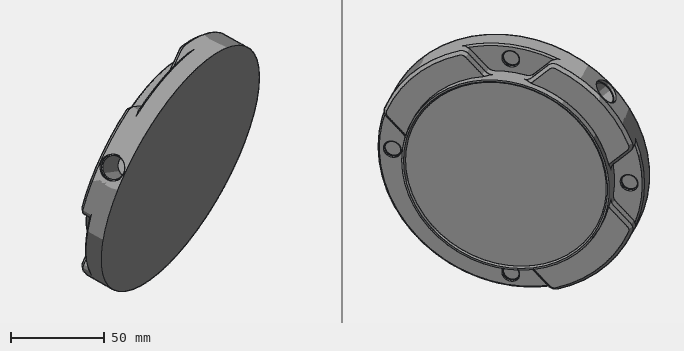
import cadquery as cq
import math

total_thickness = 21.3
pad_face_x = 4.0
floor_x = 10.3

disc_radius = 74.5
hub_radius = 116.0 / 2
disc_chamfer = 1.0

hub_rim_width = 1.0
recess_depth = 0.9

pad_half_width = 32.5
pad_corner_radius = 5.0
pad_chamfer = 1.8
pad_overlap = 0.01
pad_angles = (45, 135, 225)

floor_hole_diameter = 9.0
floor_hole_chamfer = 0.52
floor_hole_circle_radius = 66.2
floor_hole_depth = 1.5
floor_hole_count = 4

port_diameter = 13.0
port_mouth_diameter = 14.5
port_mouth_depth = 2.0
port_depth = 22.4
port_x = 13.4
port_angle = 135


def polar(radius, angle):
    """Point in the YZ plane at an angle in radians from the first axis."""
    return (radius * math.cos(angle), radius * math.sin(angle))


def mirrored(point):
    return (point[0], -point[1])


def turn(solid, angle):
    """Rotate a solid about the part axis, by an angle in degrees."""
    return solid.rotate((0, 0, 0), (1, 0, 0), angle)


def make_disc():
    disc = cq.Workplane("YZ", origin=(floor_x, 0, 0)).circle(disc_radius)
    return disc.extrude(total_thickness - floor_x).faces("<X").edges().chamfer(disc_chamfer)


def make_hub():
    hub = cq.Workplane("YZ").circle(hub_radius).extrude(floor_x)
    recess_radius = hub_radius - hub_rim_width
    recess = cq.Workplane("YZ").circle(recess_radius).extrude(recess_depth, taper=45)
    return hub.cut(recess)


def make_pad():
    """Pad along +Y, its outline blended around the hub, with the front edge chamfered."""
    inner_radius = hub_radius - pad_overlap
    outer_radius = disc_radius + pad_overlap

    root_center_distance = inner_radius + pad_corner_radius
    root_angle = math.asin((pad_half_width + pad_corner_radius) / root_center_distance)
    root_center = polar(root_center_distance, root_angle)
    root_on_inner = polar(inner_radius, root_angle)
    root_on_side = (root_center[0], pad_half_width)
    root_mid_angle = (root_angle + math.pi + 1.5 * math.pi) / 2
    root_offset = polar(pad_corner_radius, root_mid_angle)
    root_mid = (root_center[0] + root_offset[0], root_center[1] + root_offset[1])

    corner_center_distance = outer_radius - pad_corner_radius
    corner_angle = math.asin((pad_half_width - pad_corner_radius) / corner_center_distance)
    corner_center = polar(corner_center_distance, corner_angle)
    corner_on_side = (corner_center[0], pad_half_width)
    corner_on_outer = polar(outer_radius, corner_angle)
    corner_offset = polar(pad_corner_radius, (corner_angle + math.pi / 2) / 2)
    corner_mid = (corner_center[0] + corner_offset[0], corner_center[1] + corner_offset[1])

    outline = (
        cq.Workplane("YZ", origin=(pad_face_x, 0, 0))
        .moveTo(*root_on_inner)
        .threePointArc(root_mid, root_on_side)
        .lineTo(*corner_on_side)
        .threePointArc(corner_mid, corner_on_outer)
        .threePointArc((outer_radius, 0), mirrored(corner_on_outer))
        .threePointArc(mirrored(corner_mid), mirrored(corner_on_side))
        .lineTo(*mirrored(root_on_side))
        .threePointArc(mirrored(root_mid), mirrored(root_on_inner))
        .threePointArc((-inner_radius, 0), root_on_inner)
        .close()
    )
    pad = outline.extrude(floor_x + disc_chamfer - pad_face_x)
    pad = pad.faces("<X").edges().chamfer(pad_chamfer)
    envelope = cq.Workplane("YZ").circle(disc_radius).extrude(total_thickness)
    return pad.intersect(envelope)


def make_floor_hole():
    hole_plane = cq.Workplane("YZ", origin=(floor_x, floor_hole_circle_radius, 0))
    hole = hole_plane.circle(floor_hole_diameter / 2).extrude(floor_hole_depth)
    mouth_radius = floor_hole_diameter / 2 + floor_hole_chamfer
    mouth = hole_plane.circle(mouth_radius).extrude(floor_hole_chamfer, taper=45)
    return hole.union(mouth)


def make_port():
    """Port along +Y, entering at the rim, with a short counterbore."""
    rim_plane = cq.Workplane("XZ", origin=(port_x, disc_radius, 0))
    port = rim_plane.circle(port_diameter / 2).extrude(port_depth)
    mouth = rim_plane.circle(port_mouth_diameter / 2).extrude(port_mouth_depth)
    return port.union(mouth)


result = make_disc().union(make_hub())

pad_blank = make_pad()
for pad_angle in pad_angles:
    result = result.union(turn(pad_blank, pad_angle))

floor_hole = make_floor_hole()
for index in range(floor_hole_count):
    result = result.cut(turn(floor_hole, index * 360 / floor_hole_count))

result = result.cut(turn(make_port(), port_angle))